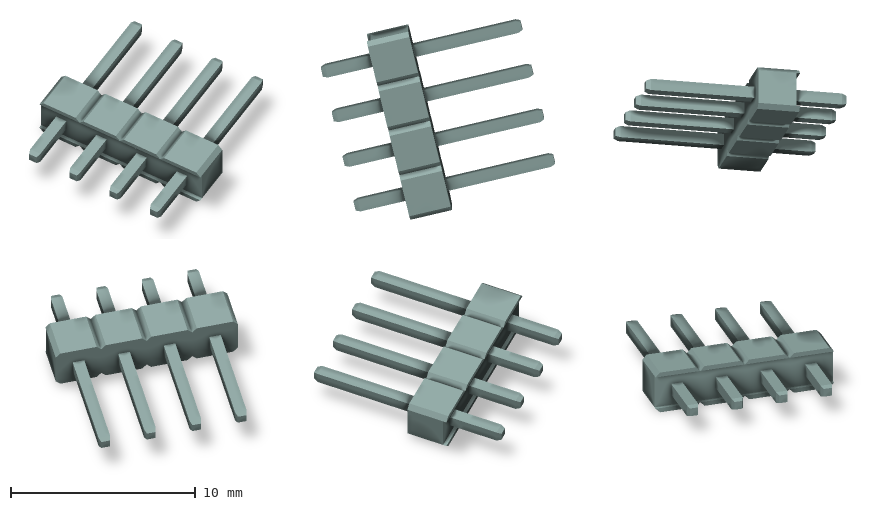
import cadquery as cq


segment_count = 4
row_width = 10.16
pitch = row_width / segment_count

block_height = 2.4
block_depth = 2.31
corner_chamfer = 0.25

recess_depth = 0.2
recess_height = block_height - 2 * corner_chamfer

overall_length = 11.1
pin_width = 0.64
front_pin_length = 2.8
tip_length = 0.25
tip_inset = 0.09
tip_width = pin_width - 2 * tip_inset


def make_block():
    """Block with four chamfered long edges and a recessed front face."""
    block = (
        cq.Workplane("XY")
        .box(pitch, block_depth, block_height, centered=(True, False, True))
        .edges("|Y")
        .chamfer(corner_chamfer)
    )
    recess = cq.Workplane("XY").box(pitch, recess_depth, recess_height, centered=(True, False, True))
    return block.cut(recess)


def make_tip(base_y, direction):
    """Square taper from the pin width at base_y to the narrower end; direction is +1 or -1 along Y."""
    base_plane = cq.Plane(origin=(0, base_y, 0), xDir=(1, 0, 0), normal=(0, direction, 0))
    return (
        cq.Workplane(base_plane)
        .rect(pin_width, pin_width)
        .workplane(offset=tip_length)
        .rect(tip_width, tip_width)
        .loft(ruled=True)
    )


def make_pin():
    """Straight square shaft with a taper at each end."""
    shaft_length = overall_length - 2 * tip_length
    shaft_front = tip_length - front_pin_length
    shaft_back = shaft_front + shaft_length
    shaft = (
        cq.Workplane("XY")
        .box(pin_width, shaft_length, pin_width, centered=(True, False, True))
        .translate((0, shaft_front, 0))
    )
    return shaft.union(make_tip(shaft_front, -1)).union(make_tip(shaft_back, 1))


def make_segment(index):
    """One block and its pin as a single body, at its place in the row."""
    center_x = (index - (segment_count - 1) / 2) * pitch
    segment = make_block().union(make_pin()).solids()
    return segment.translate((center_x, 0, 0))


segments = [make_segment(index) for index in range(segment_count)]

result = cq.Compound.makeCompound([segment.val() for segment in segments])